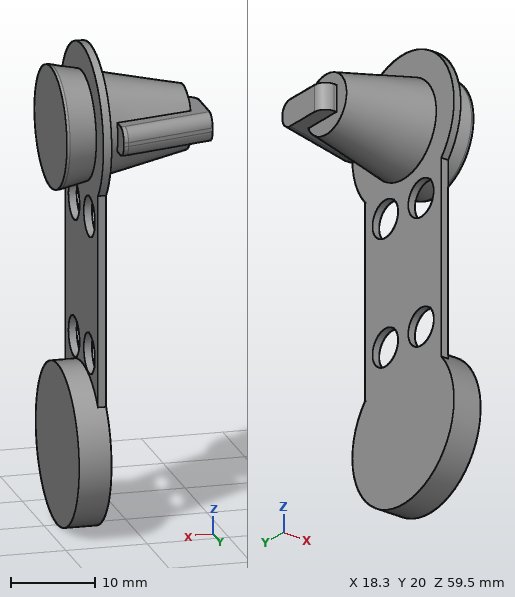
import cadquery as cq

disc_diameter = 20.0
disc_spacing = 39.5
strap_width = 15.0
plate_thickness = 1.0
end_disc_thickness = 4.0

hole_diameter = 5.0
hole_offset = 3.5
hole_heights = (12.15, 29.15)

plug_tip_diameter = 8.0
plug_rim_diameter = 15.0
plug_front = 11.4
plug_back = 4.8
rim_length = 0.35

hook_height = 3.55
hook_front = 13.5
hook_back = 1.8
hook_lower_end = 2.0
hook_corner_radius = 1.65
hook_front_reach = 5.9
hook_back_reach = 8.9
hook_flat_length = 0.55
hook_edge_radius = 1.55


def disc(thickness, height):
    """Disc standing on the plate's front face, centred at the given height."""
    return cq.Workplane("YZ").center(0, height).circle(disc_diameter / 2).extrude(thickness)


def make_plate():
    strap = (
        cq.Workplane("YZ")
        .center(0, disc_spacing / 2)
        .rect(strap_width, disc_spacing)
        .extrude(plate_thickness)
    )
    holes = (
        cq.Workplane("YZ")
        .pushPoints([(side * hole_offset, z) for side in (-1, 1) for z in hole_heights])
        .circle(hole_diameter / 2)
        .extrude(plate_thickness)
    )
    upper_disc = disc(plate_thickness, disc_spacing)
    lower_disc = disc(end_disc_thickness, 0)
    return strap.union(upper_disc).union(lower_disc).cut(holes)


def make_plug():
    """Cone with a short cylindrical rim, revolved about the upper disc's axis."""
    return (
        cq.Workplane("XY", origin=(0, 0, disc_spacing))
        .moveTo(-plug_front, 0)
        .lineTo(-plug_front, plug_tip_diameter / 2)
        .lineTo(plug_back - rim_length, plug_rim_diameter / 2)
        .lineTo(plug_back, plug_rim_diameter / 2)
        .lineTo(plug_back, 0)
        .close()
        .revolve(360, (0, 0, 0), (1, 0, 0))
    )


def hook_section(x, reach):
    """Cross-section of the hook at a given X, rounded at its outer +Y end."""
    half_height = hook_height / 2
    half_flat = half_height - hook_edge_radius
    round_start = reach - hook_edge_radius
    return (
        cq.Workplane("YZ", origin=(x, 0, disc_spacing))
        .moveTo(-hook_lower_end, -half_height)
        .lineTo(round_start, -half_height)
        .radiusArc((reach, -half_flat), -hook_edge_radius)
        .lineTo(reach, half_flat)
        .radiusArc((round_start, half_height), -hook_edge_radius)
        .lineTo(-hook_lower_end, half_height)
        .close()
        .wires()
        .val()
    )


def make_hook():
    """Solid bar buried in the plug; its outer side slopes with the plug and ends in a short flat."""
    sections = [
        hook_section(-hook_front, hook_front_reach),
        hook_section(-hook_back - hook_flat_length, hook_back_reach),
        hook_section(-hook_back, hook_back_reach),
    ]
    bar = cq.Workplane(cq.Solid.makeLoft(sections, True))
    return bar.faces("<X").edges("<Y").fillet(hook_corner_radius)


result = make_plate().union(make_plug()).union(make_hook())